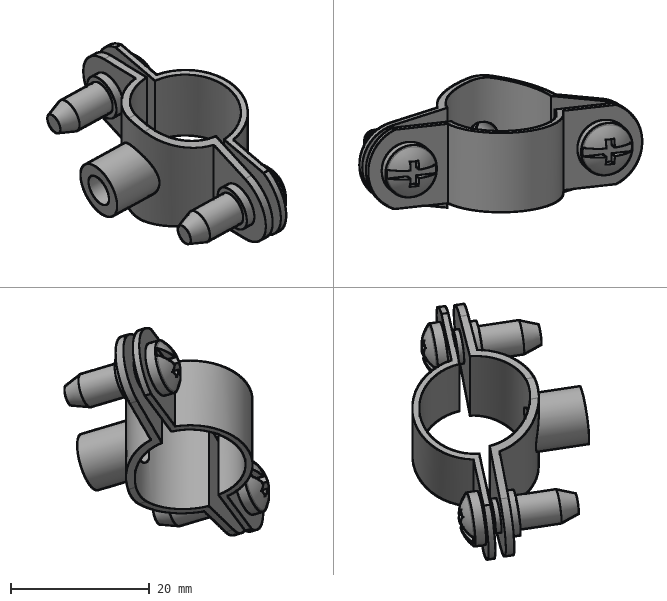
import cadquery as cq
import math


CLAMP_LENGTH = 42.0
BORE_RADIUS = 8.0
HALF_GAP = 0.75
LOWER_END_RADIUS = 6.0
SCREW_X = CLAMP_LENGTH / 2 - LOWER_END_RADIUS

UPPER_WALL = 1.0
UPPER_HEIGHT = 12.0
UPPER_END_RADIUS = 6.5

LOWER_WALL = 1.25
LOWER_HEIGHT = 18.0
COLLAR_RADIUS = 3.35
COLLAR_LENGTH = 1.4

BOSS_RADIUS = 4.25
BOSS_HOLE_RADIUS = 2.35
BOSS_END_Y = -16.0

NECK_RADIUS = 2.05
NECK_END_Y = 0.35
SHANK_RADIUS = 2.5
SHANK_TOP_Y = 0.1
SHANK_SHOULDER_RADIUS = 2.2
TAPER_START_Y = -9.55
TIP_Y = -12.25
TIP_RADIUS = 1.5
HEAD_RADIUS = 3.95
HEAD_RIM_HEIGHT = 1.55
HEAD_EDGE_CHAMFER = 0.2
DOME_HEIGHT = 1.45
SLOT_WIDTH = 1.3
SLOT_DEPTH = 1.5
CROSS_LENGTH = 3.8

UPPER_FACE_Y = HALF_GAP + UPPER_WALL
LOWER_FACE_Y = -HALF_GAP - LOWER_WALL
COLLAR_END_Y = LOWER_FACE_Y - COLLAR_LENGTH
HEAD_TOP_Y = UPPER_FACE_Y + HEAD_RIM_HEIGHT + HEAD_EDGE_CHAMFER + DOME_HEIGHT


def y_cylinder(radius, y_start, y_end, x=0.0):
    """Round bar along Y between two Y positions."""
    bar = cq.Workplane("XZ", origin=(x, y_start, 0)).circle(radius)
    return bar.extrude(y_start - y_end)


def band(wall, height, side):
    """Half ring with two flat ears; side is +1 for the upper half, -1 for the lower."""
    outer_radius = BORE_RADIUS + wall
    half_side = (
        cq.Workplane("XY")
        .box(CLAMP_LENGTH, outer_radius, height)
        .translate((0, side * (HALF_GAP + outer_radius / 2), 0))
    )
    ears = (
        cq.Workplane("XY")
        .box(CLAMP_LENGTH, wall, height)
        .translate((0, side * (HALF_GAP + wall / 2), 0))
    )
    ring = cq.Workplane("XY").circle(outer_radius).extrude(height / 2, both=True).intersect(half_side)
    bore = cq.Workplane("XY").circle(BORE_RADIUS).extrude(height / 2, both=True)
    return ring.union(ears).cut(bore)


def upper_outline():
    """Constant height strip whose ends are arcs meeting the straight edges at a corner."""
    half_length = CLAMP_LENGTH / 2
    half_height = UPPER_HEIGHT / 2
    arc_center_x = half_length - UPPER_END_RADIUS
    corner_x = arc_center_x + math.sqrt(UPPER_END_RADIUS**2 - half_height**2)
    return (
        cq.Workplane("XZ")
        .moveTo(-corner_x, half_height)
        .lineTo(corner_x, half_height)
        .threePointArc((half_length, 0), (corner_x, -half_height))
        .lineTo(-corner_x, -half_height)
        .threePointArc((-half_length, 0), (-corner_x, half_height))
        .close()
    )


def lower_outline():
    """Middle arc and two end arcs joined by their common tangent lines."""
    half_length = CLAMP_LENGTH / 2
    middle_radius = LOWER_HEIGHT / 2
    sine = (middle_radius - LOWER_END_RADIUS) / SCREW_X
    cosine = math.sqrt(1 - sine**2)
    middle_x = middle_radius * sine
    middle_z = middle_radius * cosine
    end_x = SCREW_X + LOWER_END_RADIUS * sine
    end_z = LOWER_END_RADIUS * cosine
    return (
        cq.Workplane("XZ")
        .moveTo(-middle_x, middle_z)
        .threePointArc((0, middle_radius), (middle_x, middle_z))
        .lineTo(end_x, end_z)
        .threePointArc((half_length, 0), (end_x, -end_z))
        .lineTo(middle_x, -middle_z)
        .threePointArc((0, -middle_radius), (-middle_x, -middle_z))
        .lineTo(-end_x, -end_z)
        .threePointArc((-half_length, 0), (-end_x, end_z))
        .close()
    )


def make_upper_half():
    """Upper clamp half with a hole for each screw neck."""
    half = band(UPPER_WALL, UPPER_HEIGHT, 1).intersect(upper_outline().extrude(CLAMP_LENGTH, both=True))
    for x in (-SCREW_X, SCREW_X):
        half = half.cut(y_cylinder(NECK_RADIUS, HALF_GAP, UPPER_FACE_Y, x))
    return half


def make_lower_half():
    """Lower clamp half with screw collars and the hollow boss."""
    half = band(LOWER_WALL, LOWER_HEIGHT, -1).intersect(lower_outline().extrude(CLAMP_LENGTH, both=True))
    bore = cq.Workplane("XY").circle(BORE_RADIUS).extrude(LOWER_HEIGHT, both=True)
    half = half.union(y_cylinder(BOSS_RADIUS, 0, BOSS_END_Y).cut(bore))
    half = half.cut(y_cylinder(BOSS_HOLE_RADIUS, 0, BOSS_END_Y))
    for x in (-SCREW_X, SCREW_X):
        half = half.union(y_cylinder(COLLAR_RADIUS, LOWER_FACE_Y, COLLAR_END_Y, x))
        half = half.cut(y_cylinder(SHANK_RADIUS, -HALF_GAP, COLLAR_END_Y, x))
    return half


def make_screw(x):
    """Domed screw turned about its own Y axis, with a slot and a short cross arm in the head."""
    rim_y = UPPER_FACE_Y + HEAD_RIM_HEIGHT
    dome_base_y = rim_y + HEAD_EDGE_CHAMFER
    dome_base_radius = HEAD_RADIUS - HEAD_EDGE_CHAMFER
    dome_radius = (dome_base_radius**2 + DOME_HEIGHT**2) / (2 * DOME_HEIGHT)
    dome_middle_x = dome_base_radius / 2
    dome_middle_y = HEAD_TOP_Y - dome_radius + math.sqrt(dome_radius**2 - dome_middle_x**2)
    screw = (
        cq.Workplane("XY")
        .moveTo(0, TIP_Y)
        .lineTo(TIP_RADIUS, TIP_Y)
        .lineTo(SHANK_RADIUS, TAPER_START_Y)
        .lineTo(SHANK_RADIUS, SHANK_TOP_Y)
        .lineTo(SHANK_SHOULDER_RADIUS, SHANK_TOP_Y)
        .lineTo(NECK_RADIUS, NECK_END_Y)
        .lineTo(NECK_RADIUS, UPPER_FACE_Y)
        .lineTo(HEAD_RADIUS, UPPER_FACE_Y)
        .lineTo(HEAD_RADIUS, rim_y)
        .lineTo(dome_base_radius, dome_base_y)
        .threePointArc((dome_middle_x, dome_middle_y), (0, HEAD_TOP_Y))
        .close()
        .revolve(360, (0, 0, 0), (0, 1, 0))
    )
    slot_y = HEAD_TOP_Y - SLOT_DEPTH / 2
    slot = cq.Workplane("XY").box(2 * HEAD_RADIUS, SLOT_DEPTH, SLOT_WIDTH).translate((0, slot_y, 0))
    cross = cq.Workplane("XY").box(SLOT_WIDTH, SLOT_DEPTH, CROSS_LENGTH).translate((0, slot_y, 0))
    return screw.cut(slot).cut(cross).translate((x, 0, 0))


upper_half = make_upper_half()
lower_half = make_lower_half()
screws = [make_screw(x) for x in (-SCREW_X, SCREW_X)]

result = cq.Compound.makeCompound(
    [upper_half.val(), lower_half.val(), *[screw.val() for screw in screws]]
)